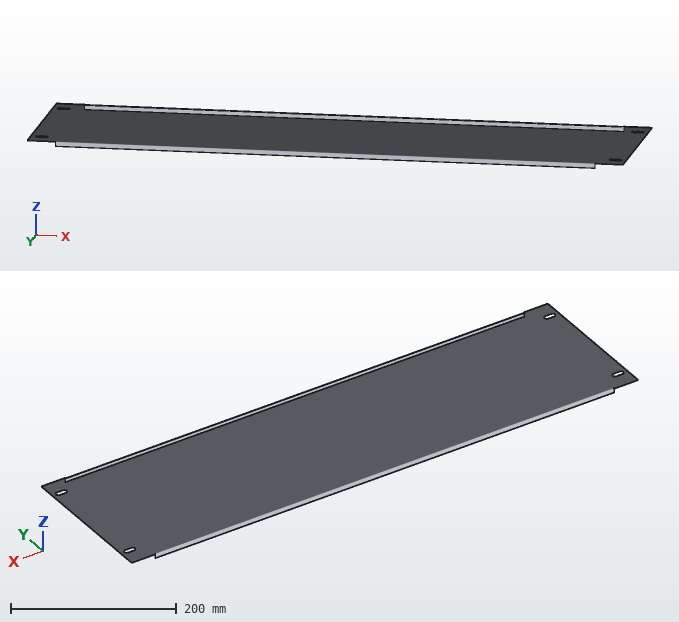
import cadquery as cq

length = 730.0
width = 199.0
height = 6.5
thickness = 1.0

flange_length = 661.5
bend_inner_radius = 1.0
bend_outer_radius = bend_inner_radius + thickness

slot_length = 15.0
slot_height = 6.5
slot_edge_distance = 13.0
slot_spacing_x = length - 2 * slot_edge_distance
slot_spacing_y = 150.5


def make_plate():
    """Flat sheet with its top face at Z = 0."""
    plate = cq.Workplane("XY").box(length, width, thickness, centered=(True, True, False))
    return plate.translate((0, 0, -thickness))


def make_folded_channel():
    """Sheet section with both long edges bent down, rounded inside and out."""
    outer = (
        cq.Workplane("XY")
        .box(flange_length, width, height, centered=(True, True, False))
        .translate((0, 0, -height))
        .edges("|X and >Z")
        .fillet(bend_outer_radius)
    )
    inner = (
        cq.Workplane("XY")
        .box(flange_length, width - 2 * thickness, height - thickness, centered=(True, True, False))
        .translate((0, 0, -height))
        .edges("|X and >Z")
        .fillet(bend_inner_radius)
    )
    return outer.cut(inner)


def make_end_tabs():
    """Flat ends of the plate that extend beyond the flanges."""
    folded_zone = cq.Workplane("XY").box(flange_length, width, 2 * height)
    return make_plate().cut(folded_zone)


def make_slots():
    """Four round-ended slots through the corners of the plate."""
    return (
        cq.Workplane("XY")
        .rect(slot_spacing_x, slot_spacing_y, forConstruction=True)
        .vertices()
        .slot2D(slot_length, slot_height)
        .extrude(-height)
    )


result = make_folded_channel().union(make_end_tabs()).cut(make_slots())